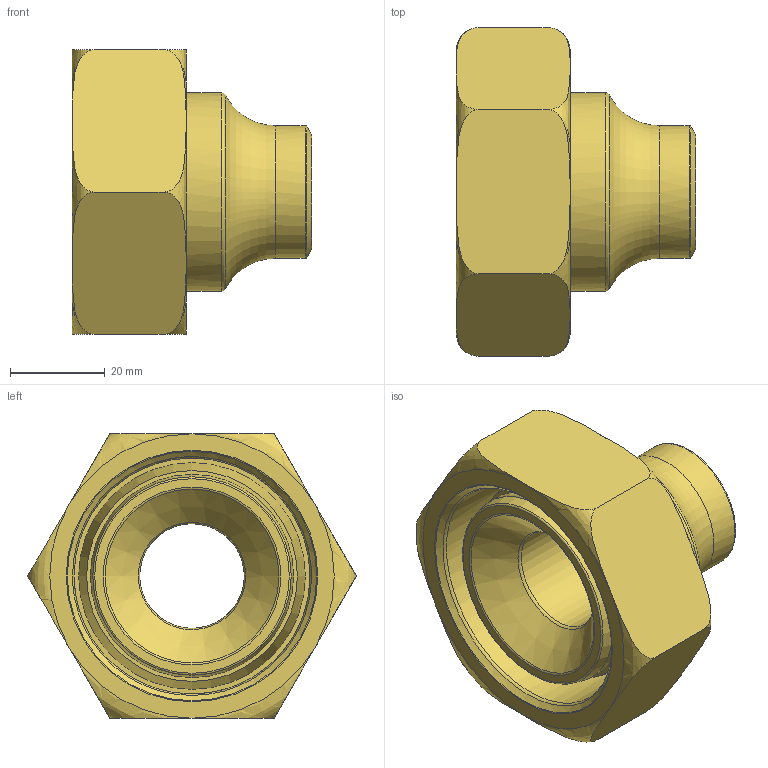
import cadquery as cq
import math


ACROSS_FLATS = 60.0
NUT_LENGTH = 24.0
NUT_BORE_DIAMETER = 49.8
NUT_FLOOR_X = 18.0
NUT_BACK_HOLE_DIAMETER = 42.34
MOUTH_DIAMETER = 52.8
MOUTH_EDGE_ROUND = 0.3
MOUTH_INNER_ROUND = 1.0

NIPPLE_FRONT_X = 2.5
NIPPLE_END_X = 50.5
BODY_DIAMETER = 41.89
SHOULDER_DIAMETER = 47.8
SEAT_ANGLE = 45.0
CONE_HALF_ANGLE = 12.0
CONE_FRONT_RADIUS = 20.85
CONE_FRONT_ROUND = 0.4
TUBE_DIAMETER = 28.0
TUBE_LENGTH = 7.7
NECK_RADIUS = 11.8
BODY_EDGE_ROUND = 1.0
BEVEL_HEIGHT = 2.0
BEVEL_ANGLE = 30.0
BEVEL_EDGE_ROUND = 0.4
BORE_DIAMETER = 22.05
FUNNEL_DIAMETER = 37.0
FUNNEL_HALF_ANGLE = 45.0
FUNNEL_MOUTH_ROUND = 0.6
FUNNEL_THROAT_ROUND = 1.0

RING_SECTION = 2.5
GROOVE_WIDTH = 3.8
GROOVE_FRONT_X = 5.2
GROOVE_FLOOR_RADIUS = 18.9

MATCH_TOLERANCE = 0.001

bore_radius = NUT_BORE_DIAMETER / 2
shoulder_radius = SHOULDER_DIAMETER / 2


def tangent(angle):
    """Tangent of an angle in degrees."""
    return math.tan(math.radians(angle))


def turn(profile):
    """Revolve a closed half profile about the X axis."""
    return profile.close().revolve(360, (0, 0, 0), (1, 0, 0))


def round_circle(body, x, radius, size):
    """Round the circular edge at the given axial position and radius."""
    circles = [
        e for e in body.edges("%CIRCLE").vals()
        if abs(e.Center().x - x) < MATCH_TOLERANCE and abs(e.radius() - radius) < MATCH_TOLERANCE
    ]
    return body.newObject(circles).fillet(size)


def make_nut():
    """Hexagon nut with rounded corners, a stepped bore and a conical seat."""
    corner_radius = ACROSS_FLATS / math.sqrt(3)
    flat_radius = ACROSS_FLATS / 2
    crown_round = corner_radius - flat_radius
    hexagon = cq.Workplane("YZ").polygon(6, 2 * corner_radius).extrude(NUT_LENGTH)
    crown = (
        cq.Workplane("YZ")
        .circle(corner_radius).extrude(NUT_LENGTH)
        .edges("%CIRCLE").fillet(crown_round)
    )
    mouth_radius = MOUTH_DIAMETER / 2
    hole_radius = NUT_BACK_HOLE_DIAMETER / 2
    seat_end_x = NUT_FLOOR_X + (shoulder_radius - hole_radius) / tangent(SEAT_ANGLE)
    chamfer_depth = mouth_radius - bore_radius
    cavity = turn(
        cq.Workplane("XY")
        .lineTo(0, mouth_radius)
        .lineTo(chamfer_depth, bore_radius)
        .lineTo(NUT_FLOOR_X, bore_radius)
        .lineTo(NUT_FLOOR_X, shoulder_radius)
        .lineTo(seat_end_x, hole_radius)
        .lineTo(NUT_LENGTH, hole_radius)
        .lineTo(NUT_LENGTH, 0)
    )
    nut = hexagon.intersect(crown).cut(cavity)
    nut = round_circle(nut, 0, mouth_radius, MOUTH_EDGE_ROUND)
    return round_circle(nut, chamfer_depth, bore_radius, MOUTH_INNER_ROUND)


def cone_radius(x):
    """Radius of the sealing cone at an axial position."""
    return CONE_FRONT_RADIUS + (x - NIPPLE_FRONT_X) * tangent(CONE_HALF_ANGLE)


def make_nipple():
    """Hollow nipple: sealing cone, shoulder in the nut seat, concave neck and weld end."""
    body_radius = BODY_DIAMETER / 2
    tube_radius = TUBE_DIAMETER / 2
    passage_radius = BORE_DIAMETER / 2
    funnel_radius = FUNNEL_DIAMETER / 2
    throat_x = NIPPLE_FRONT_X + (funnel_radius - passage_radius) / tangent(FUNNEL_HALF_ANGLE)
    cone_end_x = NIPPLE_FRONT_X + (shoulder_radius - CONE_FRONT_RADIUS) / tangent(CONE_HALF_ANGLE)
    groove_back_x = GROOVE_FRONT_X + GROOVE_WIDTH
    seat_end_x = NUT_FLOOR_X + (shoulder_radius - body_radius) / tangent(SEAT_ANGLE)
    tube_x = NIPPLE_END_X - TUBE_LENGTH
    neck_centre_radius = tube_radius + NECK_RADIUS
    start_angle = math.asin((neck_centre_radius - body_radius) / NECK_RADIUS)
    neck_x = tube_x - NECK_RADIUS * math.cos(start_angle)
    mid_angle = (start_angle + math.pi / 2) / 2
    neck_middle = (
        tube_x - NECK_RADIUS * math.cos(mid_angle),
        neck_centre_radius - NECK_RADIUS * math.sin(mid_angle),
    )
    bevel_x = NIPPLE_END_X - BEVEL_HEIGHT * tangent(BEVEL_ANGLE)
    nipple = turn(
        cq.Workplane("XY")
        .moveTo(NIPPLE_FRONT_X, funnel_radius)
        .lineTo(NIPPLE_FRONT_X, CONE_FRONT_RADIUS)
        .lineTo(GROOVE_FRONT_X, cone_radius(GROOVE_FRONT_X))
        .lineTo(GROOVE_FRONT_X, GROOVE_FLOOR_RADIUS)
        .lineTo(groove_back_x, GROOVE_FLOOR_RADIUS)
        .lineTo(groove_back_x, cone_radius(groove_back_x))
        .lineTo(cone_end_x, shoulder_radius)
        .lineTo(NUT_FLOOR_X, shoulder_radius)
        .lineTo(seat_end_x, body_radius)
        .lineTo(neck_x, body_radius)
        .threePointArc(neck_middle, (tube_x, tube_radius))
        .lineTo(bevel_x, tube_radius)
        .lineTo(NIPPLE_END_X, tube_radius - BEVEL_HEIGHT)
        .lineTo(NIPPLE_END_X, passage_radius)
        .lineTo(throat_x, passage_radius)
    )
    nipple = round_circle(nipple, NIPPLE_FRONT_X, CONE_FRONT_RADIUS, CONE_FRONT_ROUND)
    nipple = round_circle(nipple, NIPPLE_FRONT_X, funnel_radius, FUNNEL_MOUTH_ROUND)
    nipple = round_circle(nipple, throat_x, passage_radius, FUNNEL_THROAT_ROUND)
    nipple = round_circle(nipple, neck_x, body_radius, BODY_EDGE_ROUND)
    return round_circle(nipple, bevel_x, tube_radius, BEVEL_EDGE_ROUND)


def make_o_ring():
    """O-ring resting on the groove floor, midway along the groove."""
    section_radius = RING_SECTION / 2
    centre = (GROOVE_FRONT_X + GROOVE_WIDTH / 2, GROOVE_FLOOR_RADIUS + section_radius)
    return (
        cq.Workplane("XY")
        .moveTo(*centre)
        .circle(section_radius)
        .revolve(360, (0, 0, 0), (1, 0, 0))
    )


nut = make_nut()
nipple = make_nipple()
o_ring = make_o_ring()
result = cq.Compound.makeCompound([nut.val(), nipple.val(), o_ring.val()])